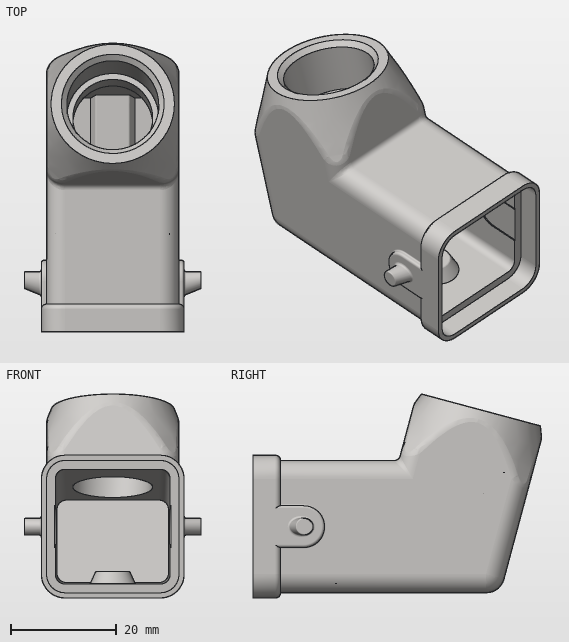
import cadquery as cq
import math

BODY = 25.0
BODY_RADIUS = 3.5
COLLAR_WALL = 1.0
COLLAR_LENGTH = 5.25
COLLAR_ROUND = 1.0
RECESS_DEPTH = 4.0

NECK_TILT = 15.0
NECK_OFFSET = 35.9
NECK_TOP = 32.46
NECK_RADIUS = 11.65
CONE_SLOPE = 0.39
CONE_BOTTOM = 19.6
CONE_ROUND = 2.0
ELBOW_ROUND = 1.1

CAVITY = 21.7
CAVITY_RADIUS = 1.75
CAVITY_DRAFT = 0.4
CAVITY_BACK_WALL = 3.0
CAVITY_ROOF = 17.35

BORE_DIAMETER = 15.1
SEAT_DIAMETER = 17.4
SEAT_DEPTH = 10.3
SEAT_CHAMFER = 1.0

RIB_BASE_WIDTH = 8.6
RIB_TOP_WIDTH = 6.4
RIB_HEIGHT = 2.4
RIB_FRONT_CENTRE = 14.05
RIB_FRONT_LEAN = 0.8
RIB_ROUND = 0.3
RIB_EMBED = 0.85
RIB_REAR = 50.0

LUG_Y = 9.6
LUG_RADIUS = 3.95
LUG_ROUND = 0.5
LUG_ROOT_ROUND = 0.25
RELIEF_DEPTH = 0.15

PEG_SPAN = 33.4
PEG_RADIUS = 1.6
PEG_BACK = 11.4
PEG_BASE_LENGTH = 4.5
PEG_ROOT_ROUND = 0.4
PEG_TIP_ROUND = 0.2

TOLERANCE = 0.01

half_body = BODY / 2
collar_size = BODY + 2 * COLLAR_WALL
half_collar = collar_size / 2
half_cavity = CAVITY / 2
neck_front = NECK_OFFSET - half_body
neck_back = NECK_OFFSET + half_body
sin_tilt = math.sin(math.radians(NECK_TILT))
cos_tilt = math.cos(math.radians(NECK_TILT))


def neck_point(across, along):
    """(y, z) of a point given square to and along the tilted neck axis."""
    return (across * cos_tilt + along * sin_tilt, along * cos_tilt - across * sin_tilt)


def across_at_z(across, z):
    """(y, z) where the neck-parallel line at `across` reaches height z."""
    return neck_point(across, (z + across * sin_tilt) / cos_tilt)


def along_neck(point):
    """Distance of a point measured along the neck axis."""
    return point.y * sin_tilt + point.z * cos_tilt


def across_neck(point):
    """Distance of a point measured square to the neck axis, away from the opening."""
    return point.y * cos_tilt - point.z * sin_tilt


def neck_plane(along):
    """Plane square to the neck axis, centred on it."""
    y, z = neck_point(NECK_OFFSET, along)
    return cq.Workplane(cq.Plane((0, y, z), (1, 0, 0), (0, sin_tilt, cos_tilt)))


def rounded_bar(size, radius, length):
    """Square bar with rounded edges running along +Y from the opening."""
    outline = cq.Sketch().rect(size, size).vertices().fillet(radius)
    plane = cq.Plane((0, 0, 0), (-1, 0, 0), (0, 1, 0))
    return cq.Workplane(plane).placeSketch(outline).extrude(length)


def make_shell():
    """Bent square body with rounded edges and a conical neck."""
    corner = across_at_z(neck_back, -half_body)
    elbow = across_at_z(neck_front, half_body)
    profile = [
        (0, -half_body),
        corner,
        neck_point(neck_back, NECK_TOP),
        neck_point(neck_front, NECK_TOP),
        elbow,
        (0, half_body),
    ]
    shell = cq.Workplane("YZ").polyline(profile).close().extrude(half_body, both=True)
    neck_edges = shell.edges(cq.selectors.ParallelDirSelector(cq.Vector(0, sin_tilt, cos_tilt)))
    back_corner = shell.edges("|X").edges(cq.NearestToPointSelector((0, *corner)))
    body_edges = shell.edges("|Y")
    shell = shell.newObject(neck_edges.vals() + body_edges.vals() + back_corner.vals())
    shell = shell.fillet(BODY_RADIUS)
    shell = shell.edges("|X").edges(cq.NearestToPointSelector((0, *elbow))).fillet(ELBOW_ROUND)
    return cone_neck(shell)


def cone_neck(shell):
    """Trim the square neck to a cone around its axis and soften the resulting outline."""

    cone_height = NECK_TOP - CONE_BOTTOM
    cone = (
        neck_plane(CONE_BOTTOM).circle(NECK_RADIUS + CONE_SLOPE * cone_height)
        .workplane(offset=cone_height).circle(NECK_RADIUS).loft()
    )
    trimmer = neck_plane(CONE_BOTTOM).circle(BODY).extrude(cone_height).cut(cone)
    shell = shell.cut(trimmer)
    cone_outline = (
        shell.edges("%HYPERBOLA or %BSPLINE")
        .filter(lambda e: along_neck(e.Center()) > CONE_BOTTOM)
    )
    return shell.newObject(cone_outline.vals()).fillet(CONE_ROUND)


def make_collar():
    """Thicker band around the mating opening, rounded at its rear edge."""
    collar = rounded_bar(collar_size, BODY_RADIUS + COLLAR_WALL, COLLAR_LENGTH)
    return collar.faces(">Y").edges().fillet(COLLAR_ROUND)


def side_slot(x_start, depth, radius, y_start):
    """Round-ended slab on the +X side, running back from y_start to the lug centre."""
    plane = cq.Workplane("YZ", origin=(x_start, 0, 0))
    return (
        plane.moveTo(y_start, -radius).lineTo(LUG_Y, -radius)
        .threePointArc((LUG_Y + radius, 0), (LUG_Y, radius))
        .lineTo(y_start, radius).close().extrude(depth)
    )


def make_peg():
    """Locking peg on the +X side: round tip, base stretched towards the opening."""
    base_half_length = PEG_BASE_LENGTH / 2
    peg = (
        cq.Workplane("YZ", origin=(half_collar, PEG_BACK - base_half_length, 0))
        .ellipse(base_half_length, PEG_RADIUS)
        .workplane(offset=PEG_SPAN / 2 - half_collar)
        .center(base_half_length - PEG_RADIUS, 0).ellipse(PEG_RADIUS, PEG_RADIUS)
        .loft()
    )
    return peg.faces(">X").edges().fillet(PEG_TIP_ROUND)


def make_lug():
    """Raised round-ended pad on the +X side with its tapered locking peg."""
    lug_start = half_body - COLLAR_WALL
    lug = side_slot(lug_start, half_collar - lug_start, LUG_RADIUS, COLLAR_LENGTH / 2)
    outer_edges = lug.faces(">X").edges("not(<Y)")
    lug = lug.newObject(outer_edges.vals()).fillet(LUG_ROUND)
    peg = make_peg()
    root_centre = peg.faces("<X").edges().val().Center()
    lug = lug.union(peg)
    peg_root = lug.edges(cq.NearestToPointSelector(root_centre.toTuple()))
    return lug.newObject(peg_root.vals()).fillet(PEG_ROOT_ROUND)


def make_cavity():
    """Main cavity, closed by a tilted back wall and a tilted roof."""
    back = neck_back - CAVITY_BACK_WALL
    far_end = across_at_z(back, half_cavity)[0]
    opening = cq.Workplane(cq.Plane((0, 0, 0), (-1, 0, 0), (0, 1, 0)))
    bar = opening.rect(CAVITY, CAVITY).extrude(far_end, taper=CAVITY_DRAFT)
    limits = [
        (0, -half_body),
        across_at_z(back, -half_body),
        neck_point(back, CAVITY_ROOF),
        neck_point(0, CAVITY_ROOF),
        (0, half_body),
    ]
    envelope = cq.Workplane("YZ").polyline(limits).close().extrude(half_body, both=True)
    cavity = bar.intersect(envelope)
    side_edges = cavity.edges().filter(
        lambda e: abs(e.Center().x) > TOLERANCE
        and e.Center().y > TOLERANCE
        and abs(across_neck(e.Center()) - back) > TOLERANCE
    )
    cavity = cavity.newObject(side_edges.vals()).fillet(CAVITY_RADIUS)
    recess = rounded_bar(BODY, BODY_RADIUS, RECESS_DEPTH)
    return cavity.union(recess)


def make_bore():
    """Stepped cable entry: chamfered seat above a smaller through bore."""
    seat = neck_plane(NECK_TOP - SEAT_DEPTH).circle(SEAT_DIAMETER / 2).extrude(SEAT_DEPTH)
    mouth = (
        neck_plane(NECK_TOP - SEAT_CHAMFER).circle(SEAT_DIAMETER / 2)
        .workplane(offset=SEAT_CHAMFER).circle(SEAT_DIAMETER / 2 + SEAT_CHAMFER).loft()
    )
    bore = neck_plane(CAVITY_ROOF).circle(BORE_DIAMETER / 2).extrude(NECK_TOP - CAVITY_ROOF)
    return bore.union(seat).union(mouth)


def rib_outline(plan, radius, front_centre):
    """Strip with a round front end, running back past the back wall, drawn on a workplane."""
    strip = plan.moveTo(radius, RIB_REAR).lineTo(radius, front_centre)
    strip = strip.threePointArc((0, front_centre - radius), (-radius, front_centre))
    return strip.lineTo(-radius, RIB_REAR).close()


def make_rib(shell):
    """Sloped-sided floor rib with a ramped round front, running into the back wall of the shell."""
    embed_share = RIB_EMBED / RIB_HEIGHT
    side_run = (RIB_BASE_WIDTH - RIB_TOP_WIDTH) / 2
    foot_radius = RIB_BASE_WIDTH / 2 + side_run * embed_share
    foot_centre = RIB_FRONT_CENTRE - RIB_FRONT_LEAN * embed_share

    plan = cq.Workplane("XY", origin=(0, 0, -half_cavity - RIB_EMBED))
    rib = rib_outline(plan, foot_radius, foot_centre).workplane(offset=RIB_HEIGHT + RIB_EMBED)
    rib = rib_outline(rib, RIB_TOP_WIDTH / 2, RIB_FRONT_CENTRE + RIB_FRONT_LEAN)
    rib = rib.loft(ruled=True)
    rib = rib.faces(">Z").edges().fillet(RIB_ROUND)
    return rib.intersect(shell)


def round_lug_roots(housing):
    """Blend the foot of both lugs into the body sides."""
    lug_roots = housing.edges().filter(
        lambda e: abs(abs(e.Center().x) - half_body) < TOLERANCE
        and abs(e.Center().z) < LUG_RADIUS + TOLERANCE
        and COLLAR_LENGTH < e.Center().y < LUG_Y + LUG_RADIUS
    )
    return housing.newObject(lug_roots.vals()).fillet(LUG_ROOT_ROUND)


def make_reliefs():
    """Shallow reliefs in both cavity side walls, behind the lugs."""
    relief = side_slot(0, half_cavity + RELIEF_DEPTH, LUG_RADIUS, 0)
    return relief.union(relief.mirror("YZ"))


shell = make_shell()
lug = make_lug()
outside = shell.union(make_collar()).union(lug).union(lug.mirror("YZ"))
outside = round_lug_roots(outside)

hollow = make_cavity().union(make_bore()).union(make_reliefs())
result = outside.cut(hollow).union(make_rib(shell))